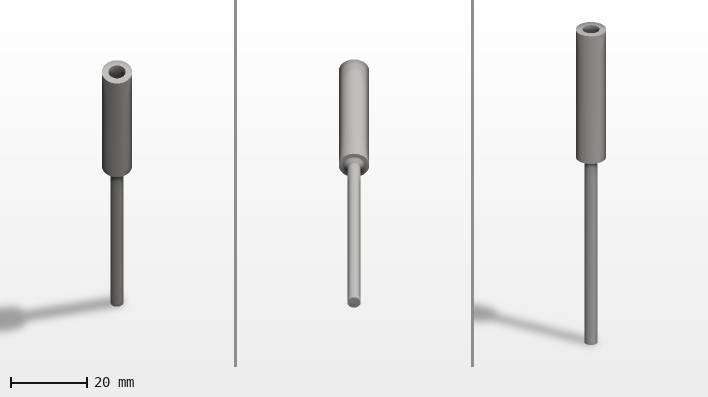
import cadquery as cq

total_length = 93.0
sleeve_diameter = 8.0
sleeve_length = 37.9
bore_diameter = 4.5
bore_depth = 27.9
pin_diameter = 3.5
neck_height = 1.0

sleeve_bottom = total_length - sleeve_length
neck_bottom = sleeve_bottom - neck_height

neck_top_diameter = pin_diameter + 2 * neck_height


def turned_body():
    """Pin, tapered neck and sleeve, revolved about Z."""
    half_profile = (
        cq.Workplane("XZ")
        .moveTo(0, 0)
        .lineTo(pin_diameter / 2, 0)
        .lineTo(pin_diameter / 2, neck_bottom)
        .lineTo(neck_top_diameter / 2, sleeve_bottom)
        .lineTo(sleeve_diameter / 2, sleeve_bottom)
        .lineTo(sleeve_diameter / 2, total_length)
        .lineTo(0, total_length)
        .close()
    )
    return half_profile.revolve(360, (0, 0, 0), (0, 1, 0))


def sleeve_bore():
    """Flat-bottomed blind hole in the top of the sleeve."""
    return (
        cq.Workplane("XY")
        .workplane(offset=total_length - bore_depth)
        .circle(bore_diameter / 2)
        .extrude(bore_depth)
    )


result = turned_body().cut(sleeve_bore())